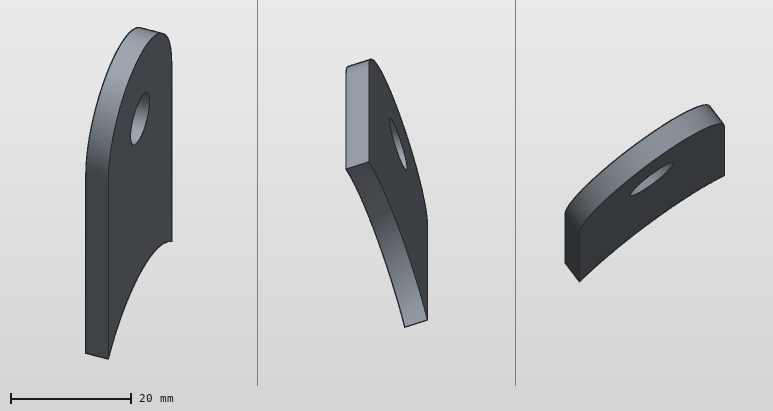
import cadquery as cq
import math

thickness = 4.0
width = 30.0
center_height = 50.0
saddle_radius = 21.2
hole_diameter = 9.0
hole_edge_distance = 10.0

half_width = width / 2
shoulder_z = center_height - half_width
saddle_axis_z = -saddle_radius
corner_z = saddle_axis_z + math.sqrt(saddle_radius**2 - half_width**2)
hole_z = center_height - hole_edge_distance - hole_diameter / 2


def make_plate():
    """Plate with a full-round top and a concave saddle along its lower edge."""
    return (
        cq.Workplane("YZ")
        .moveTo(-half_width, corner_z)
        .threePointArc((0, 0), (half_width, corner_z))
        .lineTo(half_width, shoulder_z)
        .threePointArc((0, center_height), (-half_width, shoulder_z))
        .close()
        .extrude(thickness / 2, both=True)
    )


def make_hole_cutter():
    """Cylinder through the full plate thickness at the pin hole."""
    return (
        cq.Workplane("YZ")
        .center(0, hole_z)
        .circle(hole_diameter / 2)
        .extrude(thickness / 2, both=True)
    )


result = make_plate().cut(make_hole_cutter())